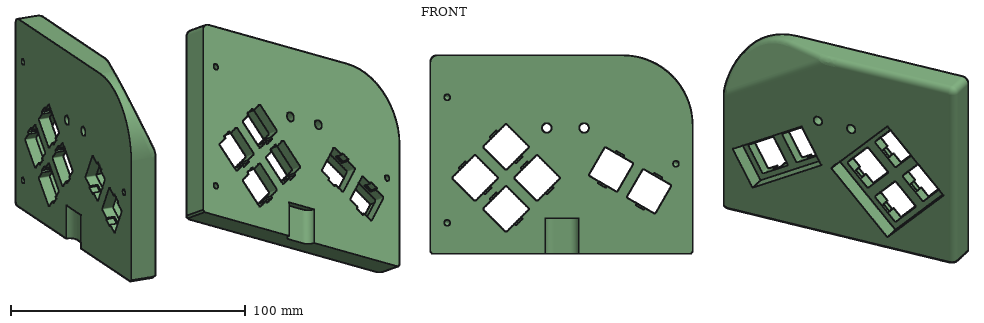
import cadquery as cq
import math

width = 111.93
depth = 12.7
height = 84.73

big_corner_radius = 30.0
small_corner_radius = 3.0
back_edge_radius = 3.0
bottom_chamfer = 0.9

slope_angle = 29.0
slope_blend_radius = 6.0
slope_start_x = 60.3
slope_end_z = height - big_corner_radius

key_size = 14.0
key_corner_radius = 0.5
key_pitch = 18.7
plate_thickness = 5.2
clip_lip = 1.5
clip_length = 4.0
clip_reach = 0.95
pad_center = (32.33, 32.37)
pad_angle = 45.0
thumb_center = (85.2, 31.33)
thumb_angle = -30.0
recess_unit = 19.0

wire_hole_diameter = 4.0
wire_hole_z = 53.68
wire_hole_xs = (49.7, 65.6)
screw_hole_diameter = 2.53
screw_hole_depth = 6.0
drill_point_angle = 118.0
left_screw_x = 7.25
screw_positions = ((left_screw_x, 13.25), (left_screw_x, 66.75), (104.75, 38.4))
channel_center_x = 56.15
channel_width = 14.2
channel_height = 15.1
channel_depth = 3.5

overshoot = 5.0


def front_plane(x, z, y=0.0):
    """Workplane at (x, y, z) whose local axes are X and Z and whose normal points forward (-Y)."""
    return cq.Workplane(cq.Plane(origin=(x, y, z), xDir=(1, 0, 0), normal=(0, -1, 0)))


def prism(sketch, length):
    """Extrude a front-plane outline towards the back."""
    return sketch.extrude(-length)


def make_blank():
    """Plain plate with its two rounded top corners."""
    outline = (
        front_plane(0, 0)
        .lineTo(width, 0)
        .lineTo(width, height - big_corner_radius)
        .radiusArc((width - big_corner_radius, height), -big_corner_radius)
        .lineTo(small_corner_radius, height)
        .radiusArc((0, height - small_corner_radius), -small_corner_radius)
        .close()
    )
    return prism(outline, depth)


def make_slope_cutter():
    """Block whose lower face is the slope, hinged on a line lying in the back face."""
    run_x = width - slope_start_x
    drop_z = height - slope_end_z
    hinge = cq.Vector(run_x, 0, -drop_z).normalized()
    outward = cq.Vector(drop_z, 0, run_x).normalized()
    tilt = math.radians(slope_angle)
    normal = outward * math.sin(tilt) + cq.Vector(0, math.cos(tilt), 0)
    plane = cq.Plane(origin=(slope_start_x, depth, height), xDir=hinge, normal=normal)
    cutter_size = 2 * (width + height)
    return cq.Workplane(plane).rect(cutter_size, cutter_size).extrude(depth + overshoot)


def make_shell():
    """Outline cut by the slope, with a blended hinge, rounded back edges and a chamfered foot."""
    shell = make_blank().cut(make_slope_cutter())
    hinge_midpoint = ((slope_start_x + width) / 2, depth, (height + slope_end_z) / 2)
    shell = shell.edges(cq.selectors.NearestToPointSelector(hinge_midpoint)).fillet(slope_blend_radius)
    shell = shell.edges("not(|Y or <Y or <Z)").fillet(back_edge_radius)
    return shell.faces("<Z").edges("not <Y").chamfer(bottom_chamfer)


def make_key_cutter(x, z):
    """Rounded square opening through the plate, with clip pockets above and below it.

    The pockets stop short of the recess, leaving a lip for the switch clips.
    """
    opening = prism(front_plane(x, z).rect(key_size, key_size), plate_thickness + overshoot)
    opening = opening.edges("|Y").fillet(key_corner_radius)
    pocket_span = key_size + 2 * clip_reach
    pockets = prism(front_plane(x, z).rect(clip_length, pocket_span), plate_thickness - clip_lip)
    return opening.union(pockets)


def make_key_cluster_cutter(center, angle, columns, rows):
    """Grid of key openings in a shared recess that is open to the back, turned about its center."""
    recess_outline = front_plane(0, 0, plate_thickness).rect(columns * recess_unit, rows * recess_unit)
    cutter = prism(recess_outline, depth)
    for column in range(columns):
        for row in range(rows):
            key_x = (column - (columns - 1) / 2) * key_pitch
            key_z = (row - (rows - 1) / 2) * key_pitch
            cutter = cutter.union(make_key_cutter(key_x, key_z))
    center_x, center_z = center
    return cutter.rotate((0, 0, 0), (0, -1, 0), angle).translate((center_x, 0, center_z))


def make_screw_hole_cutter(x, z):
    """Blind hole from the front face with a drilled conical end."""
    radius = screw_hole_diameter / 2
    tip = radius / math.tan(math.radians(drill_point_angle / 2))
    profile = (
        cq.Workplane("XY")
        .lineTo(radius, 0)
        .lineTo(radius, screw_hole_depth)
        .lineTo(0, screw_hole_depth + tip)
        .close()
    )
    return profile.revolve(360, (0, 0), (0, 1)).translate((x, 0, z))


def make_wire_hole_cutter(x):
    """Hole straight through from front to back."""
    return prism(front_plane(x, wire_hole_z).circle(wire_hole_diameter / 2), depth)


def make_channel_cutter():
    """Channel in the front face, running up from the foot, with quarter-round sides."""
    block_depth = channel_depth + overshoot
    block = cq.Workplane("XY").box(
        channel_width, block_depth, channel_height, centered=(True, False, False)
    )
    block = block.edges("|Z and >Y").fillet(channel_depth)
    return block.translate((channel_center_x, -overshoot, 0))


result = make_shell()
result = result.cut(make_key_cluster_cutter(pad_center, pad_angle, columns=2, rows=2))
result = result.cut(make_key_cluster_cutter(thumb_center, thumb_angle, columns=2, rows=1))
for hole_x, hole_z in screw_positions:
    result = result.cut(make_screw_hole_cutter(hole_x, hole_z))
for hole_x in wire_hole_xs:
    result = result.cut(make_wire_hole_cutter(hole_x))
result = result.cut(make_channel_cutter())